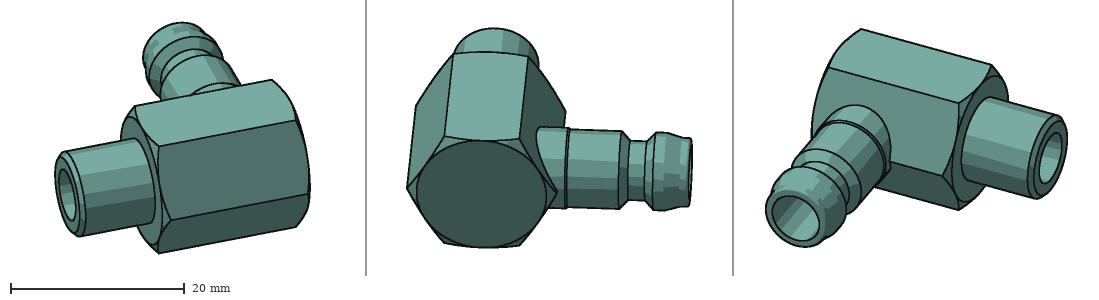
import cadquery as cq
import math

across_flats = 15.0
across_corners = across_flats / math.cos(math.radians(30))
body_length = 18.0
corner_chamfer_angle = 30

stub_radius = 5.0
stub_length = 9.0
stub_chamfer = 0.55

overall_x = 32.4
nipple_axis_y = body_length - 5.87
tip_x = across_corners / 2 - overall_x
tip_radius = 4.0
tip_rounding = 0.32
tip_land_end = 1.05
ridge_radius = 4.5
ridge_start = 2.82
ridge_end = 4.08
groove_radius = 3.45
groove_start = 5.1
groove_end = 7.03
barrel_start = 8.05
collar_radius = 4.67
collar_start = 14.0
collar_chamfer = 0.23

bore_radius = 3.0


def make_body():
    """Hexagonal bar with the corners of both ends turned to a cone."""
    bar = (
        cq.Workplane("XZ")
        .polygon(6, across_corners)
        .extrude(-body_length)
    )
    flat_radius = across_flats / 2
    corner_radius = across_corners / 2
    chamfer_length = (corner_radius - flat_radius) * math.tan(math.radians(corner_chamfer_angle))
    turned_blank = (
        cq.Workplane("XY")
        .polyline([
            (0, 0),
            (flat_radius, 0),
            (corner_radius, chamfer_length),
            (corner_radius, body_length - chamfer_length),
            (flat_radius, body_length),
            (0, body_length),
        ])
        .close()
        .revolve(360, (0, 0, 0), (0, 1, 0))
    )
    return bar.intersect(turned_blank)


def make_stub():
    """Round stub with a chamfered free end."""
    stub = cq.Workplane("XZ").circle(stub_radius).extrude(stub_length)
    return stub.faces("<Y").chamfer(stub_chamfer)


def make_nipple():
    """Turned plug profile that runs from the tip to the body axis."""
    behind_tip_rounding = [
        (tip_land_end, tip_radius),
        (ridge_start, ridge_radius),
        (ridge_end, ridge_radius),
        (groove_start, groove_radius),
        (groove_end, groove_radius),
        (barrel_start, ridge_radius),
        (collar_start, ridge_radius),
        (collar_start + collar_chamfer, collar_radius),
        (-tip_x, collar_radius),
        (-tip_x, 0),
    ]
    arc_inset = tip_rounding * (1 - math.sqrt(0.5))
    return (
        cq.Workplane("XY", origin=(tip_x, nipple_axis_y, 0))
        .lineTo(0, tip_radius - tip_rounding)
        .threePointArc((arc_inset, tip_radius - arc_inset), (tip_rounding, tip_radius))
        .polyline(behind_tip_rounding, includeCurrent=True)
        .close()
        .revolve(360, (0, 0, 0), (1, 0, 0))
    )


def make_bores():
    """Blind stub bore, met at its closed end by the nipple bore."""
    stub_bore = (
        cq.Workplane("XZ", origin=(0, -stub_length, 0))
        .circle(bore_radius)
        .extrude(-(stub_length + nipple_axis_y + bore_radius))
    )
    nipple_bore = (
        cq.Workplane("YZ", origin=(tip_x, nipple_axis_y, 0))
        .circle(bore_radius)
        .extrude(-tip_x)
    )
    return stub_bore.union(nipple_bore)


result = make_body().union(make_stub()).union(make_nipple()).cut(make_bores())